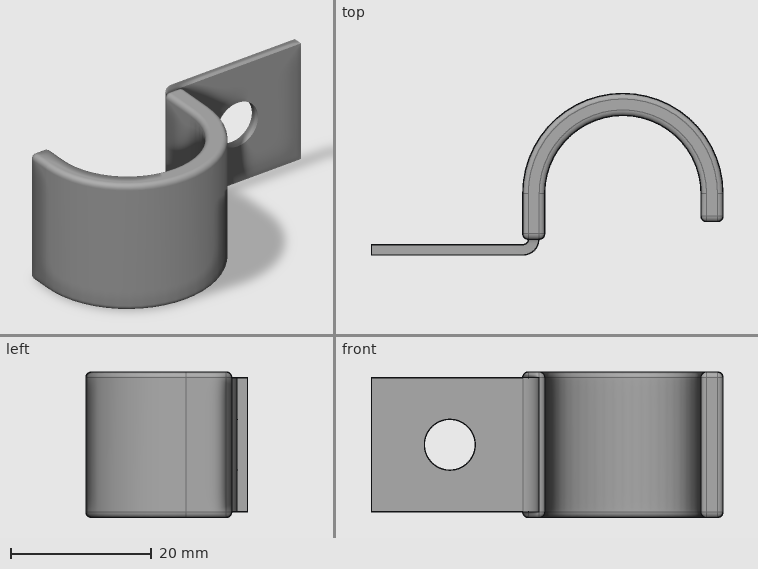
import cadquery as cq

overall_length = 49.9
overall_depth = 22.95
cushion_width = 20.65
cushion_radius = 14.2
cushion_thickness = 3.15
cushion_rounding = 0.8
long_leg = 6.5
short_leg = 4.0
strap_thickness = 1.5
strap_bend_radius = 0.8
hole_diameter = 7.2
hole_from_end = 11.15

inner_radius = cushion_radius - cushion_thickness
strap_width = cushion_width - 2 * cushion_rounding
strap_end_x = cushion_radius - overall_length
strap_face_y = cushion_radius - overall_depth
strap_outer_bend = strap_bend_radius + strap_thickness
leg_center_x = -(cushion_radius + inner_radius) / 2
strap_right_x = leg_center_x + strap_thickness / 2


def make_cushion():
    """Half ring with two straight legs, rounded along every edge."""
    profile = (
        cq.Workplane("XY", origin=(0, 0, -cushion_width / 2))
        .moveTo(-cushion_radius, -long_leg)
        .lineTo(-cushion_radius, 0)
        .threePointArc((0, cushion_radius), (cushion_radius, 0))
        .lineTo(cushion_radius, -short_leg)
        .lineTo(inner_radius, -short_leg)
        .lineTo(inner_radius, 0)
        .threePointArc((0, inner_radius), (-inner_radius, 0))
        .lineTo(-inner_radius, -long_leg)
        .close()
    )
    body = profile.extrude(cushion_width)
    return body.faces("|Z or |Y").edges().fillet(cushion_rounding)


def make_strap():
    """Mounting plate bent into the middle of the long leg."""
    strap_top_y = -long_leg + cushion_rounding
    outline = (
        cq.Workplane("XY", origin=(0, 0, -strap_width / 2))
        .moveTo(strap_end_x, strap_face_y)
        .lineTo(strap_right_x - strap_outer_bend, strap_face_y)
        .radiusArc((strap_right_x, strap_face_y + strap_outer_bend), -strap_outer_bend)
        .lineTo(strap_right_x, strap_top_y)
        .lineTo(strap_right_x - strap_thickness, strap_top_y)
        .lineTo(strap_right_x - strap_thickness, strap_face_y + strap_outer_bend)
        .radiusArc(
            (strap_right_x - strap_outer_bend, strap_face_y + strap_thickness),
            strap_bend_radius,
        )
        .lineTo(strap_end_x, strap_face_y + strap_thickness)
        .close()
    )
    hole = (
        cq.Workplane("XZ", origin=(strap_end_x + hole_from_end, strap_face_y, 0))
        .circle(hole_diameter / 2)
        .extrude(-strap_thickness)
    )
    return outline.extrude(strap_width).cut(hole)


result = make_cushion().union(make_strap())